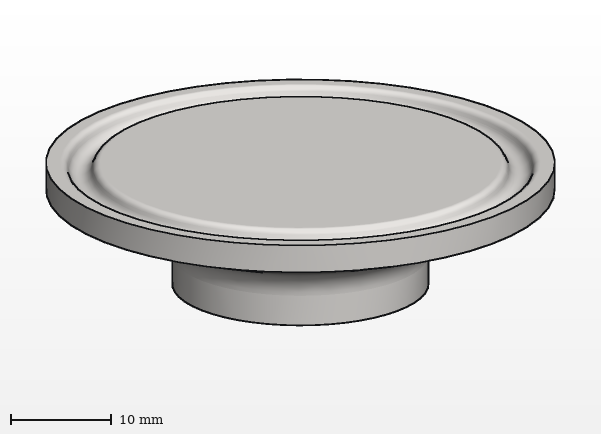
import cadquery as cq
import math

flange_radius = 50.39 / 2
height = 12.7
rim_thickness = 2.82

stub_radius = 12.7
cone_angle = math.radians(20)
neck_fillet_radius = 3.175

groove_inner_radius = 19.85
groove_outer_radius = 23.77
lip_radius = 0.75
groove_bottom_radius = 1.2
wall_angle = math.radians(68)


def arc_point(center, radius, angle):
    """Point on a circle in the (radius, height) plane, angle in radians."""
    return (center[0] + radius * math.cos(angle), center[1] + radius * math.sin(angle))


def revolve_about_z(profile):
    """Full turn about Z of a closed profile drawn in the XZ plane."""
    return profile.close().revolve(360, (0, 0, 0), (0, 1, 0))


def make_body():
    """Solid disc with a conical underside blending into the stub."""
    rim_bottom = height - rim_thickness

    blend_end_x = stub_radius + neck_fillet_radius * (1 - math.sin(cone_angle))
    blend_end_z = rim_bottom - (flange_radius - blend_end_x) * math.tan(cone_angle)
    fillet_center = (
        stub_radius + neck_fillet_radius,
        blend_end_z - neck_fillet_radius * math.cos(cone_angle),
    )
    blend_start_angle = math.pi
    blend_end_angle = math.pi / 2 + cone_angle
    blend_middle_angle = (blend_start_angle + blend_end_angle) / 2

    profile = (
        cq.Workplane("XZ")
        .lineTo(stub_radius, 0)
        .lineTo(stub_radius, fillet_center[1])
        .threePointArc(
            arc_point(fillet_center, neck_fillet_radius, blend_middle_angle),
            (blend_end_x, blend_end_z),
        )
        .lineTo(flange_radius, rim_bottom)
        .lineTo(flange_radius, height)
        .lineTo(0, height)
    )
    return revolve_about_z(profile)


def make_groove():
    """Ring cutter: convex lips tangent to the top face, sloping walls, then a round bottom."""
    middle_radius = (groove_inner_radius + groove_outer_radius) / 2
    half_width = (groove_outer_radius - groove_inner_radius) / 2

    lip_width = lip_radius * math.sin(wall_angle)
    bottom_half_width = groove_bottom_radius * math.sin(wall_angle)
    wall_width = half_width - lip_width - bottom_half_width
    wall_top_z = height - lip_radius * (1 - math.cos(wall_angle))
    wall_bottom_z = wall_top_z - wall_width * math.tan(wall_angle)
    floor_z = wall_bottom_z - groove_bottom_radius * (1 - math.cos(wall_angle))

    lip_center_z = height - lip_radius
    inner_lip_center = (groove_inner_radius, lip_center_z)
    outer_lip_center = (groove_outer_radius, lip_center_z)
    lip_middle_tilt = wall_angle / 2

    profile = (
        cq.Workplane("XZ")
        .moveTo(groove_inner_radius, height)
        .threePointArc(
            arc_point(inner_lip_center, lip_radius, math.pi / 2 - lip_middle_tilt),
            (groove_inner_radius + lip_width, wall_top_z),
        )
        .lineTo(middle_radius - bottom_half_width, wall_bottom_z)
        .threePointArc(
            (middle_radius, floor_z),
            (middle_radius + bottom_half_width, wall_bottom_z),
        )
        .lineTo(groove_outer_radius - lip_width, wall_top_z)
        .threePointArc(
            arc_point(outer_lip_center, lip_radius, math.pi / 2 + lip_middle_tilt),
            (groove_outer_radius, height),
        )
    )
    return revolve_about_z(profile)


result = make_body().cut(make_groove())